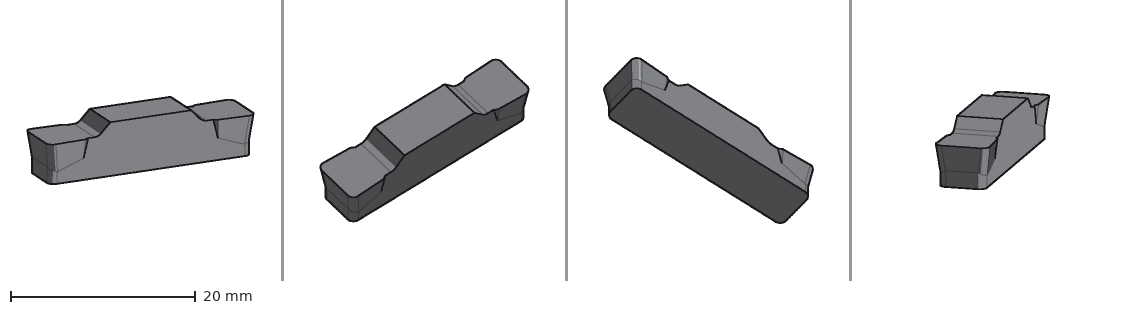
import cadquery as cq
import math

length = 24.87
height = 6.15
deck_height = 4.7

body_width = 5.2
end_setback = 0.35
body_length = length - 2 * end_setback
corner_radius = 0.8
plateau_length = 9.7
ramp_angle = 45.0
ramp_foot_radius = 1.07

head_width = 6.05
head_length = 4.48
side_taper = 2.5
clearance_angle = 7.0
shoulder_length = 0.45
shoulder_corner_radius = 0.15
shoulder_overlap = 0.25


def make_body():
    """Bar with a raised middle whose 45 degree ramps blend into the decks."""
    half_length = body_length / 2
    half_plateau = plateau_length / 2
    ramp_run = (height - deck_height) / math.tan(math.radians(ramp_angle))
    ramp_foot = half_plateau + ramp_run
    body = (
        cq.Workplane("YZ")
        .polyline([
            (-half_length, 0),
            (half_length, 0),
            (half_length, deck_height),
            (ramp_foot, deck_height),
            (half_plateau, height),
            (-half_plateau, height),
            (-ramp_foot, deck_height),
            (-half_length, deck_height),
        ])
        .close()
        .extrude(body_width / 2, both=True)
    )
    body = body.edges("|Z").fillet(corner_radius)
    for y in (-ramp_foot, ramp_foot):
        foot_edge = cq.selectors.NearestToPointSelector((0, y, deck_height))
        body = body.edges("|X").edges(foot_edge).fillet(ramp_foot_radius)
    return body


def make_head():
    """Head at +Y, narrowing downward until it disappears inside the body."""
    taper_slope = math.tan(math.radians(side_taper))
    tip_y = length / 2
    tip_x = head_width / 2 + corner_radius * taper_slope
    rear_y = tip_y - head_length
    rear_x = tip_x - head_length * taper_slope
    shoulder_slope = (rear_x - body_width / 2) / shoulder_length
    inner_x = body_width / 2 - shoulder_overlap * shoulder_slope
    inner_y = rear_y - shoulder_length - shoulder_overlap
    head = (
        cq.Workplane("XY", origin=(0, 0, deck_height))
        .polyline([
            (-tip_x, tip_y),
            (tip_x, tip_y),
            (rear_x, rear_y),
            (inner_x, inner_y),
            (-inner_x, inner_y),
            (-rear_x, rear_y),
        ])
        .close()
        .extrude(-deck_height, taper=clearance_angle)
    )
    slanted_edges = head.edges("not #Z")
    tip_edges = slanted_edges.filter(lambda edge: edge.Center().y > rear_y + head_length / 2)
    head = head.newObject(tip_edges.vals()).fillet(corner_radius)
    rear_edges = head.edges("not #Z").filter(
        lambda edge: abs(edge.Center().y - rear_y) < shoulder_length / 2
    )
    return head.newObject(rear_edges.vals()).fillet(shoulder_corner_radius)


head = make_head()
result = make_body().union(head).union(head.mirror("XZ"))